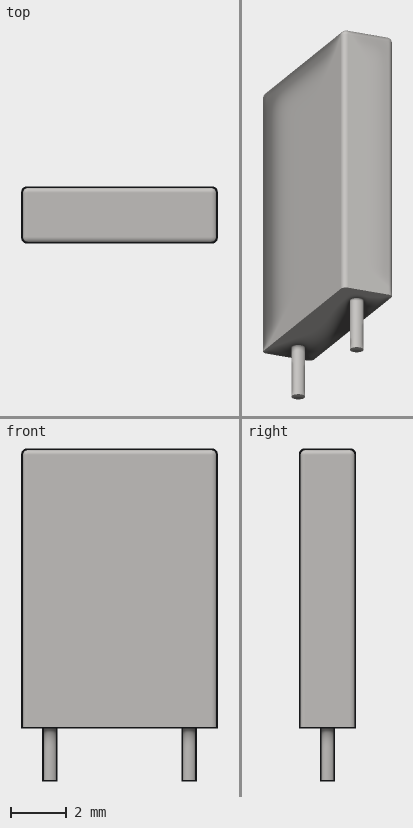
import cadquery as cq

body_length = 7.0
body_thickness = 2.0
body_height = 10.0
edge_radius = 0.2

lead_diameter = 0.5
lead_length = 1.9
lead_pitch = 5.0


def make_body():
    """Box resting on Z = 0 with its vertical and top edges rounded."""
    box = cq.Workplane("XY").box(
        body_length, body_thickness, body_height, centered=(True, True, False)
    )
    return box.edges("|Z or >Z").fillet(edge_radius)


def make_leads():
    """Two round leads hanging below the body, one pitch apart along X."""
    return (
        cq.Workplane("XY")
        .pushPoints([(-lead_pitch / 2, 0), (lead_pitch / 2, 0)])
        .circle(lead_diameter / 2)
        .extrude(-lead_length)
    )


result = make_body().union(make_leads())